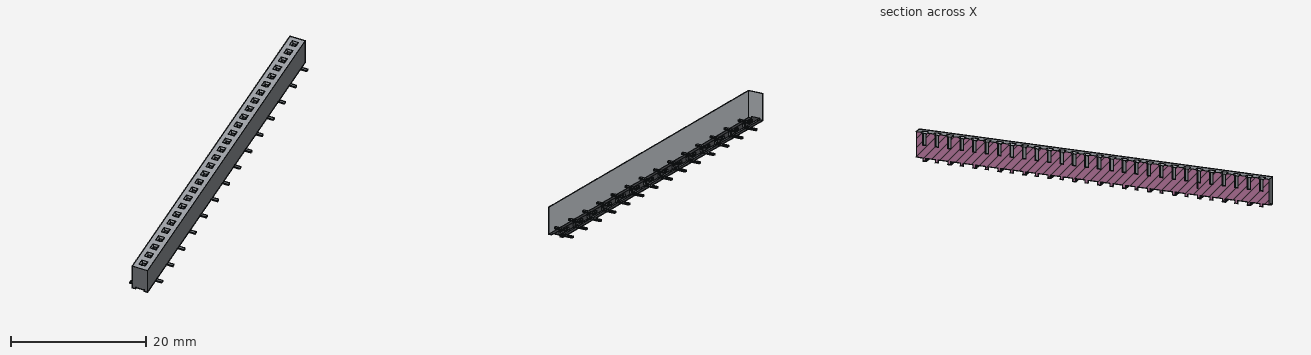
import cadquery as cq

contact_count = 28
pitch = 2.0
end_margin = 1.3
body_length = (contact_count - 1) * pitch + 2 * end_margin
body_width = 2.5
total_height = 4.6
foot_span = 4.3

standoff = 0.3
groove_width = 1.4
groove_depth = 0.25

mouth_size = 1.0
throat_size = 0.5
funnel_depth = (mouth_size - throat_size) / 2
socket_depth = 3.0
socket_floor = total_height - socket_depth

blade_height = 1.0
blade_top = socket_floor + blade_height
strip_thickness = 0.2
stem_width = throat_size
foot_width = 0.4
inner_bend_radius = 0.1
outer_bend_radius = inner_bend_radius + strip_thickness


def make_block(size_x, size_y, bottom, height, y=0):
    """Box centred on X = 0 and on the given Y, standing on the given Z."""
    return cq.Workplane("XY", origin=(0, y, bottom)).box(
        size_x, size_y, height, centered=(True, True, False)
    )


def make_housing():
    """Long bar with a groove along its underside."""
    bar = make_block(body_width, body_length, standoff, total_height - standoff)
    groove = make_block(groove_width, body_length, standoff, groove_depth)
    return bar.cut(groove)


def make_socket(y):
    """Void of one contact opening: a tapered lead-in above a straight blind throat."""
    funnel = (
        cq.Workplane("XY", origin=(0, y, total_height))
        .rect(mouth_size, mouth_size)
        .workplane(offset=-funnel_depth)
        .rect(throat_size, throat_size)
        .loft(ruled=True)
    )
    throat = make_block(throat_size, throat_size, socket_floor, socket_depth - funnel_depth, y)
    return funnel.union(throat)


def make_contact(y, side):
    """L-shaped contact: an upright strip, bent into a narrower foot out to one side."""
    half_thickness = strip_thickness / 2
    bend_end_x = outer_bend_radius - half_thickness
    stem_height = blade_top - outer_bend_radius
    stem = make_block(strip_thickness, stem_width, outer_bend_radius, stem_height, y)
    bend = (
        cq.Workplane("XZ", origin=(0, y + stem_width / 2, 0))
        .moveTo(-side * half_thickness, outer_bend_radius)
        .radiusArc((side * bend_end_x, 0), -side * outer_bend_radius)
        .lineTo(side * bend_end_x, strip_thickness)
        .radiusArc((side * half_thickness, outer_bend_radius), side * inner_bend_radius)
        .close()
        .extrude(stem_width)
    )
    foot_length = foot_span / 2 - bend_end_x
    foot = make_block(foot_length, foot_width, 0, strip_thickness, y).translate(
        (side * (bend_end_x + foot_length / 2), 0, 0)
    )
    return stem.union(bend).union(foot)


first_y = -(contact_count - 1) * pitch / 2

result = make_housing()
for index in range(contact_count):
    contact_y = first_y + index * pitch
    foot_side = -1 if index % 2 == 0 else 1
    result = result.cut(make_socket(contact_y)).union(make_contact(contact_y, foot_side))